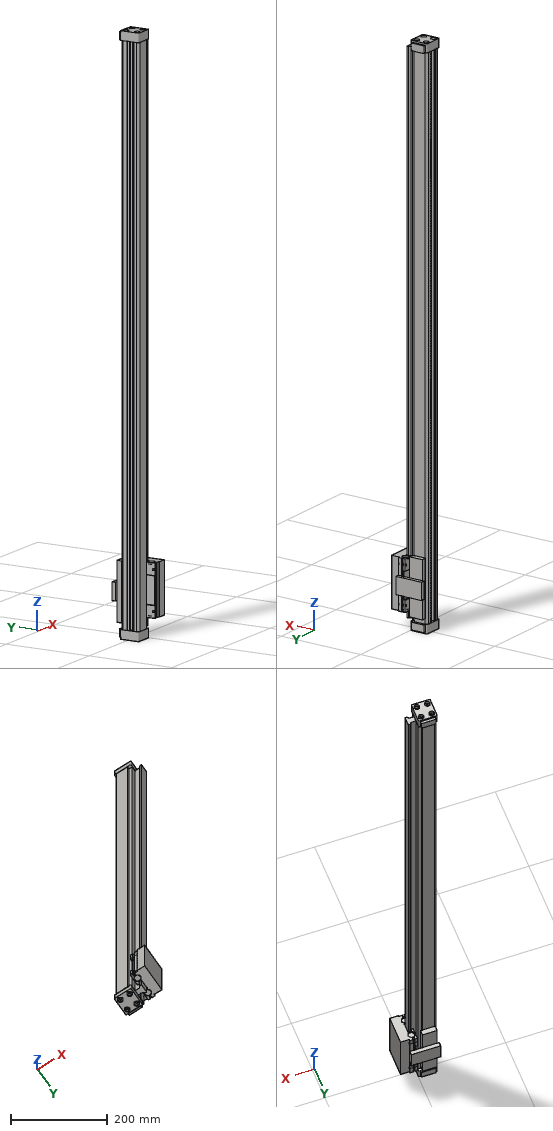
import cadquery as cq

length = 1300.0
half_width = 21.0
half_depth = 22.0
cap_length = 21.0
cap_fillet = 2.0

barrel_length = length - 2 * cap_length
barrel_inset = 0.6
barrel_x = half_width - barrel_inset
barrel_y = half_depth - barrel_inset
outer_chamfer = 5.0
rebate_width = 8.0
rebate_depth = 5.0
slot_offset = -2.0
slot_mouth = 15.0
slot_mouth_depth = 2.0
slot_width = 8.0
slot_depth = 8.0

screw_diameter = 11.5
screw_depth = 6.0
socket_diameter = 5.0
socket_depth = 10.0
screw_x = 12.0
screw_y = 13.0
pad_width = 32.0
pad_height = 5.0
pad_length = 17.0

neck_half_width = 5.8
head_half_width = 9.8
neck_end = 31.0
shoulder_end = 35.0
rail_end = 39.0
rail_clearance = 1.0

carriage_z = -550.0
carriage_length = 118.0
end_block_length = 27.0
end_block_x = 27.0
middle_x = 31.0
slab_x = 44.0
slab_end = 64.0
guide_bottom = -32.0
guide_top = 33.2
slab_bottom = -34.5
slab_top = 30.0
seam_x = 34.5
seam_width = 4.0
seam_depth = 4.0
flange_hole = 4.2
flange_hole_inset = 4.0
flange_hole_end = 14.0

end_recess = 14.0
end_recess_x = 35.8
end_recess_y = 20.0
end_recess_depth = 4.0

driver_width = 32.0
driver_length = 133.0
bracket_length = 40.0
bracket_top = 42.2


def block(x_range, y_range, z_centre, z_length):
    """Box given by its X and Y limits and its place along Z."""
    return (
        cq.Workplane("XY")
        .box(x_range[1] - x_range[0], y_range[1] - y_range[0], z_length)
        .translate((sum(x_range) / 2, sum(y_range) / 2, z_centre))
    )


def rail_outline():
    """Rail section: a neck that flares into a wider head."""
    return (
        cq.Workplane("XY")
        .moveTo(barrel_x, -neck_half_width)
        .lineTo(neck_end, -neck_half_width)
        .lineTo(shoulder_end, -head_half_width)
        .lineTo(rail_end, -head_half_width)
        .lineTo(rail_end, head_half_width)
        .lineTo(shoulder_end, head_half_width)
        .lineTo(neck_end, neck_half_width)
        .lineTo(barrel_x, neck_half_width)
        .close()
    )


def make_barrel():
    """Barrel with chamfered and rebated corners and a stepped sensor slot along its -X face."""
    barrel = block((-barrel_x, barrel_x), (-barrel_y, barrel_y), 0, barrel_length)
    barrel = barrel.edges("|Z and <X").chamfer(outer_chamfer)
    rebate_sides = (barrel_x - rebate_width, barrel_x)
    for rebate in ((-barrel_y, -barrel_y + rebate_depth), (barrel_y - rebate_depth, barrel_y)):
        barrel = barrel.cut(block(rebate_sides, rebate, 0, barrel_length))
    for width, depth in ((slot_mouth, slot_mouth_depth), (slot_width, slot_depth)):
        slot_sides = (slot_offset - width / 2, slot_offset + width / 2)
        barrel = barrel.cut(block((-barrel_x, -barrel_x + depth), slot_sides, 0, barrel_length))
    return barrel


def make_end_cap(side):
    """End cap at the +Z (side = 1) or -Z (side = -1) end, with a pad and four screw recesses."""
    cap_z = side * (length - cap_length) / 2
    cap = block((-half_width, half_width), (-half_depth, half_depth), cap_z, cap_length)
    pad_z = side * (barrel_length + pad_length) / 2
    pad = block(
        (-pad_width / 2, pad_width / 2), (half_depth, half_depth + pad_height), pad_z, pad_length
    )
    cap = cap.edges("|Z").fillet(cap_fillet).union(pad)
    for diameter, depth in ((screw_diameter, screw_depth), (socket_diameter, socket_depth)):
        recesses = (
            cq.Workplane("XY")
            .rect(2 * screw_x, 2 * screw_y, forConstruction=True)
            .vertices()
            .circle(diameter / 2)
            .extrude(depth, both=True)
            .translate((0, 0, side * length / 2))
        )
        cap = cap.cut(recesses)
    return cap


def make_cylinder():
    """Rodless cylinder: barrel, guide rail and both end caps in one solid."""
    rail = rail_outline().extrude(barrel_length / 2, both=True)
    cylinder = make_barrel().union(rail)
    for side in (1, -1):
        cylinder = cylinder.union(make_end_cap(side))
    return cylinder


def make_guide():
    """Guide block with raised ends, a channel for the rail, edge grooves, flange holes and end recesses."""
    guide_sides = (guide_bottom, guide_top)
    guide = block((middle_x, slab_x), guide_sides, carriage_z, carriage_length)
    end_block_z = (carriage_length - end_block_length) / 2
    hole_z = carriage_length / 2 - flange_hole_end
    for side in (1, -1):
        end_block = block(
            (end_block_x, slab_x), guide_sides, carriage_z + side * end_block_z, end_block_length
        )
        end_recesses = (
            cq.Workplane("XY")
            .pushPoints([(end_recess_x, -end_recess_y), (end_recess_x, end_recess_y)])
            .circle(end_recess / 2)
            .extrude(end_recess_depth, both=True)
            .translate((0, 0, carriage_z + side * carriage_length / 2))
        )
        guide = guide.union(end_block).cut(end_recesses)

    channel = rail_outline().offset2D(rail_clearance, "intersection").extrude(length / 2, both=True)
    guide = guide.cut(channel)

    seam = (seam_x - seam_width / 2, seam_x + seam_width / 2)
    for groove in (
        (guide_bottom, guide_bottom + seam_depth),
        (guide_top - seam_depth, guide_top),
    ):
        guide = guide.cut(block(seam, groove, carriage_z, carriage_length))

    hole_centres = [
        (y, carriage_z + side * hole_z)
        for y in (guide_bottom + flange_hole_inset, guide_top - flange_hole_inset)
        for side in (1, -1)
    ]
    holes = cq.Workplane("YZ").pushPoints(hole_centres).circle(flange_hole / 2).extrude(slab_x)
    return guide.cut(holes)


def make_carriage():
    """Guide, mounting slab, bracket and driver plate in one solid."""
    slab = block((slab_x, slab_end), (slab_bottom, slab_top), carriage_z, carriage_length)
    driver = block(
        (-driver_width / 2, driver_width / 2), (barrel_y, guide_top), carriage_z, driver_length
    )
    bracket = block((-half_width, slab_x), (guide_top, bracket_top), carriage_z, bracket_length)
    return make_guide().union(slab).union(bracket).union(driver)


cylinder = make_cylinder()
carriage = make_carriage()

result = cq.Compound.makeCompound([cylinder.val(), carriage.val()])